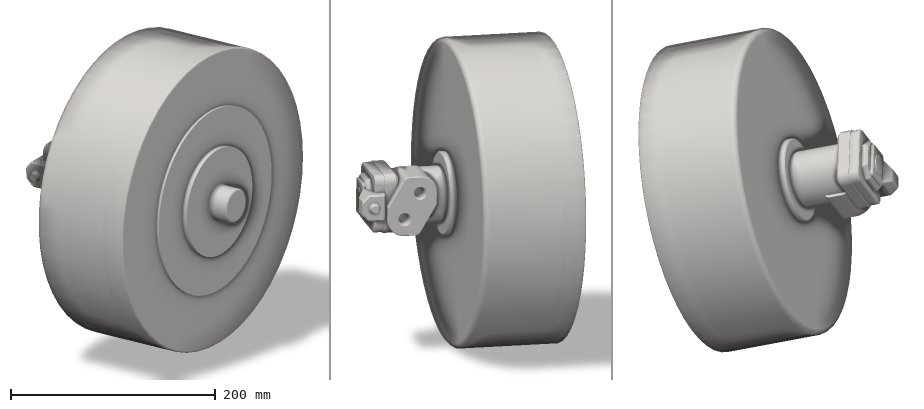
import cadquery as cq
import math

CONNECTOR_TURN = 4.5

DRUM_RADIUS = 152.5
DRUM_LENGTH = 79.0
DRUM_FILLET = 5.2
COVER_LENGTH = 23.8
COVER_FILLET = 1.8
COVER_STEP_RADIUS = 95.0
COVER_STEP_LENGTH = 2.7
HUB_RADIUS = 55.2
HUB_LENGTH = 5.2
SHAFT_RADIUS = 17.0
SHAFT_LENGTH = 20.0
SHAFT_ROOT_FILLET = 1.8
SHAFT_END_FILLET = 2.0
COVER_START = DRUM_LENGTH
COVER_END = COVER_START + COVER_LENGTH
HUB_START = COVER_END + COVER_STEP_LENGTH
SHAFT_START = HUB_START + HUB_LENGTH

FLANGE_RADIUS = 41.2
FLANGE_LENGTH = 6.5
FLANGE_CHAMFER = 1.2
RELIEF_RADIUS = 26.8
RELIEF_LENGTH = 2.5
TUBE_RADIUS = 27.5
TUBE_START = -FLANGE_LENGTH - RELIEF_LENGTH
BOX_BACK = -56.0
TUBE_LENGTH = TUBE_START - BOX_BACK

BOX_HALF = 30.2
BOX_CORNER_RADIUS = 9.0
BOX_LENGTH = 14.0
BOX_TAPER = 2.7
RIM_STEP = 1.0
RIM_LENGTH = 9.8
RIM_CHAMFER = 1.0
BOX_FRONT = BOX_BACK - BOX_LENGTH
RIM_FRONT = BOX_FRONT - RIM_LENGTH

BLOCK_CENTRE_X = -44.0
BLOCK_ROUND = 17.0
BLOCK_CORNER_FILLET = 5.5
BLOCK_SLANT = 60.0
HOLE_SPACING = 30.0
HOLE_RADIUS = 5.5
HOLE_DEPTH = 18.3
DRILL_POINT_ANGLE = 118.0
HOLE_CHAMFER = 1.2
BLOCK_FACE_Y = -37.5
BLOCK_END_Y = 5.0
BLOCK_EDGE_CHAMFER = 1.0
BLOCK_END_DROP = 2.7
HOLE_DX = HOLE_SPACING / 2 * math.cos(math.radians(BLOCK_SLANT))
HOLE_DZ = HOLE_SPACING / 2 * math.sin(math.radians(BLOCK_SLANT))
HOLE_POINT_LENGTH = HOLE_RADIUS / math.tan(math.radians(DRILL_POINT_ANGLE / 2))
UPPER_HOLE_X = BLOCK_CENTRE_X + HOLE_DX
LOWER_HOLE_X = BLOCK_CENTRE_X - HOLE_DX
BLOCK_HALF_X = HOLE_DX + BLOCK_ROUND
BLOCK_HALF_Z = HOLE_DZ + BLOCK_ROUND

CAP_BASE_HALF = 22.0
CAP_BASE_CORNER = 10.0
CAP_BASE_LENGTH = 5.8
CAP_BASE_CHAMFER = 2.0
CAP_TOP_HALF_Y = 13.0
CAP_TOP_HALF_Z = 18.0
CAP_TOP_LENGTH = 2.7
CAP_TOP_CORNER = 3.0
CAP_TOP_CHAMFER = 1.0
BADGE_HALF_Y = 8.2
BADGE_HALF_Z = 10.7
BADGE_HEIGHT = 1.0
ARM_FRONT = -94.2
ARM_BACK = -71.5
ARM_HALF_Z = 13.5
ARM_CORNER = 6.5
ARM_FACE_Y = -37.8
ARM_RAMP_END_Y = -22.5
ARM_CHAMFER = 1.5
CAP_BASE_FRONT = RIM_FRONT - CAP_BASE_LENGTH
CAP_TOP_FRONT = CAP_BASE_FRONT - CAP_TOP_LENGTH

SCREW_X = -82.5
SCREW_BASE_RADIUS = 5.5
SCREW_TIP_RADIUS = 3.7
SCREW_HEIGHT = 5.0


def cylinder(start_x, length, radius):
    """Cylinder about the X axis, growing towards +X."""
    return cq.Workplane("YZ", origin=(start_x, 0, 0)).circle(radius).extrude(length)


def rounded_square(start_x, length, half):
    """Square prism about the X axis with rounded corners, growing towards +X."""
    corner_radius = BOX_CORNER_RADIUS - (BOX_HALF - half)
    outline = cq.Sketch().rect(2 * half, 2 * half).vertices().fillet(corner_radius)
    return cq.Workplane("YZ", origin=(start_x, 0, 0)).placeSketch(outline).extrude(length)


def turned(body):
    return body.rotate((0, 0, 0), (1, 0, 0), CONNECTOR_TURN)


def make_drum():
    return cylinder(0, DRUM_LENGTH, DRUM_RADIUS).faces("<X").edges().fillet(DRUM_FILLET)


def make_cover():
    plate = cylinder(COVER_START, COVER_LENGTH, DRUM_RADIUS).faces(">X").edges().fillet(COVER_FILLET)
    return plate.union(cylinder(COVER_END, COVER_STEP_LENGTH, COVER_STEP_RADIUS))


def make_hub():
    shaft = cylinder(SHAFT_START, SHAFT_LENGTH, SHAFT_RADIUS).faces(">X").edges().fillet(SHAFT_END_FILLET)
    hub = cylinder(HUB_START, HUB_LENGTH, HUB_RADIUS).union(shaft)
    root_reach = SHAFT_RADIUS + SHAFT_ROOT_FILLET
    shaft_root = cq.selectors.BoxSelector(
        (SHAFT_START - SHAFT_ROOT_FILLET, -root_reach, -root_reach),
        (SHAFT_START + SHAFT_ROOT_FILLET, root_reach, root_reach),
        boundingbox=True,
    )
    return hub.edges(shaft_root).fillet(SHAFT_ROOT_FILLET)


def make_neck():
    flange = cylinder(-FLANGE_LENGTH, FLANGE_LENGTH, FLANGE_RADIUS)
    flange = flange.faces("<X").edges().chamfer(FLANGE_CHAMFER)
    relief = cylinder(TUBE_START, RELIEF_LENGTH, RELIEF_RADIUS)
    return flange.union(relief).union(cylinder(BOX_BACK, TUBE_LENGTH, TUBE_RADIUS))


def make_box():
    body = rounded_square(BOX_FRONT, BOX_LENGTH, BOX_HALF).faces(">X").edges().chamfer(BOX_TAPER)
    rim = rounded_square(RIM_FRONT, RIM_LENGTH, BOX_HALF - RIM_STEP).faces("<X").edges().chamfer(RIM_CHAMFER)
    return body.union(rim)


def make_block():
    left = BLOCK_CENTRE_X - BLOCK_HALF_X
    right = BLOCK_CENTRE_X + BLOCK_HALF_X
    slant_run = BLOCK_HALF_Z / math.tan(math.radians(BLOCK_SLANT))
    block = (
        cq.Workplane("XZ", origin=(0, BLOCK_FACE_Y, 0))
        .moveTo(left, 0)
        .lineTo(left + slant_run, BLOCK_HALF_Z)
        .lineTo(UPPER_HOLE_X, BLOCK_HALF_Z)
        .radiusArc((right, HOLE_DZ), BLOCK_ROUND)
        .lineTo(right, 0)
        .lineTo(right - slant_run, -BLOCK_HALF_Z)
        .lineTo(LOWER_HOLE_X, -BLOCK_HALF_Z)
        .radiusArc((left, -HOLE_DZ), BLOCK_ROUND)
        .close()
        .extrude(BLOCK_FACE_Y - BLOCK_END_Y)
    )
    corner_places = ((left + slant_run, BLOCK_HALF_Z), (right - slant_run, -BLOCK_HALF_Z))
    for corner_x, corner_z in corner_places:
        corner = cq.selectors.NearestToPointSelector((corner_x, (BLOCK_FACE_Y + BLOCK_END_Y) / 2, corner_z))
        block = block.edges("|Y").edges(corner).fillet(BLOCK_CORNER_FILLET)
    block = block.faces("<Y").edges().chamfer(BLOCK_EDGE_CHAMFER)
    slope = (
        cq.Workplane("YZ", origin=(left, 0, 0))
        .moveTo(0, BLOCK_HALF_Z)
        .lineTo(BLOCK_END_Y, BLOCK_HALF_Z)
        .lineTo(BLOCK_END_Y, BLOCK_HALF_Z - BLOCK_END_DROP)
        .close()
        .extrude(2 * BLOCK_HALF_X)
    )
    return block.cut(slope)


def make_drills():
    """Two countersunk drilled shapes with pointed ends, cut from the block and the tube behind it."""
    inward = cq.Vector(0, 1, 0)
    drills = cq.Workplane()
    for hole_x, hole_z in ((UPPER_HOLE_X, HOLE_DZ), (LOWER_HOLE_X, -HOLE_DZ)):
        mouth = cq.Vector(hole_x, BLOCK_FACE_Y, hole_z)
        bottom = mouth + inward * HOLE_DEPTH
        bore = cq.Solid.makeCylinder(HOLE_RADIUS, HOLE_DEPTH, mouth, inward)
        countersink = cq.Solid.makeCone(HOLE_RADIUS + HOLE_CHAMFER, HOLE_RADIUS, HOLE_CHAMFER, mouth, inward)
        point = cq.Solid.makeCone(HOLE_RADIUS, 0, HOLE_POINT_LENGTH, bottom, inward)
        drills = drills.add(bore.fuse(countersink, point))
    return drills.combine()


def make_connector(neck, drills):
    return make_box().union(make_block().cut(neck).cut(drills))


def make_cap():
    base = (
        cq.Workplane("YZ", origin=(CAP_BASE_FRONT, 0, 0))
        .rect(2 * CAP_BASE_HALF, 2 * CAP_BASE_HALF)
        .extrude(CAP_BASE_LENGTH)
        .edges("|X")
        .chamfer(CAP_BASE_CORNER)
        .faces("<X")
        .edges()
        .chamfer(CAP_BASE_CHAMFER)
    )
    top = (
        cq.Workplane("YZ", origin=(CAP_TOP_FRONT, 0, 0))
        .rect(2 * CAP_TOP_HALF_Y, 2 * CAP_TOP_HALF_Z)
        .extrude(CAP_TOP_LENGTH)
        .edges("|X")
        .fillet(CAP_TOP_CORNER)
        .faces("<X")
        .edges()
        .chamfer(CAP_TOP_CHAMFER)
    )
    badge = (
        cq.Workplane("YZ", origin=(CAP_TOP_FRONT - BADGE_HEIGHT, 0, 0))
        .ellipse(BADGE_HALF_Y, BADGE_HALF_Z)
        .extrude(BADGE_HEIGHT)
    )
    return base.union(top).union(badge)


def make_arm():
    ramp_start_y = -CAP_TOP_HALF_Y
    arm = (
        cq.Workplane("XZ", origin=(0, ARM_FACE_Y, 0))
        .moveTo(ARM_BACK, -ARM_HALF_Z)
        .lineTo(ARM_BACK, ARM_HALF_Z)
        .lineTo(ARM_FRONT + ARM_CORNER, ARM_HALF_Z)
        .lineTo(ARM_FRONT, ARM_HALF_Z - ARM_CORNER)
        .lineTo(ARM_FRONT, ARM_CORNER - ARM_HALF_Z)
        .lineTo(ARM_FRONT + ARM_CORNER, -ARM_HALF_Z)
        .close()
        .extrude(ARM_FACE_Y - ramp_start_y)
        .faces("<Y")
        .edges("not <X")
        .chamfer(ARM_CHAMFER)
    )
    ramp = (
        cq.Workplane("XY", origin=(0, 0, -ARM_HALF_Z))
        .moveTo(ARM_FRONT, ARM_RAMP_END_Y)
        .lineTo(CAP_TOP_FRONT, ramp_start_y)
        .lineTo(ARM_FRONT, ramp_start_y)
        .close()
        .extrude(2 * ARM_HALF_Z)
    )
    return arm.cut(ramp)


def make_latch(connector):
    return make_cap().union(make_arm()).cut(connector)


def make_screw():
    head = cq.Solid.makeCone(
        SCREW_BASE_RADIUS,
        SCREW_TIP_RADIUS,
        SCREW_HEIGHT,
        cq.Vector(SCREW_X, ARM_FACE_Y, 0),
        cq.Vector(0, -1, 0),
    )
    return cq.Workplane(head)


drum = make_drum()
cover = make_cover()
hub = make_hub()
drills = make_drills()
neck = make_neck().cut(drills)
connector = make_connector(neck, drills)
latch = make_latch(connector)
screw = make_screw()

result = cq.Compound.makeCompound(
    [
        drum.val(),
        cover.val(),
        hub.val(),
        turned(neck).val(),
        turned(connector).val(),
        turned(latch).val(),
        turned(screw).val(),
    ]
)